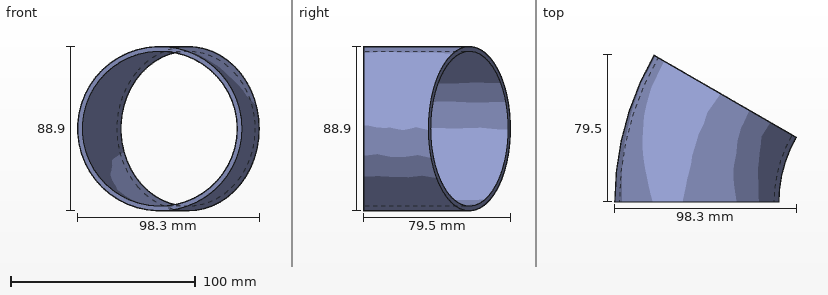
import cadquery as cq

outer_diameter = 88.9
wall_thickness = 2.6
bend_radius = 114.5
bend_angle = 30.0

outer_radius = outer_diameter / 2
inner_radius = outer_radius - wall_thickness


def pipe_elbow():
    """Sweep the pipe ring from the XZ plane toward +Y, bending toward +X."""
    bend_axis_start = (bend_radius, 0)
    bend_axis_end = (bend_radius, -1)
    return (
        cq.Workplane("XZ")
        .circle(outer_radius)
        .circle(inner_radius)
        .revolve(bend_angle, bend_axis_start, bend_axis_end)
    )


result = pipe_elbow()